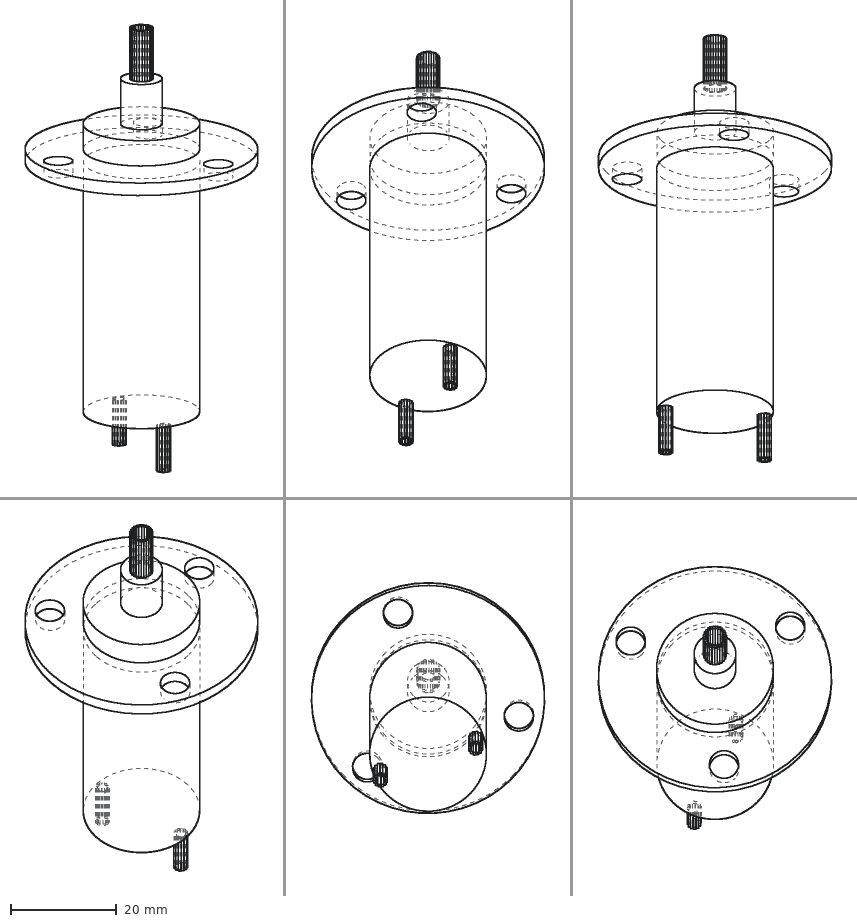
import cadquery as cq
import math

overall_height = 84.8
lower_wire_length = 9.0
hub_height = 5.0
flange_thickness = 2.5
neck_height = 8.9
upper_wire_length = 10.0

hub_base_z = overall_height - upper_wire_length - neck_height - hub_height
flange_base_z = hub_base_z - flange_thickness
neck_base_z = hub_base_z + hub_height
neck_top_z = neck_base_z + neck_height

body_diameter = 22.05
flange_diameter = 44.0
neck_diameter = 7.9

hole_count = 3
hole_diameter = 5.5
hole_circle_radius = 17.5
first_hole_angle = -90.0

wire_diameter = 0.5
upper_wire_count = 24
upper_ring_radius = 1.95
lower_wire_count = upper_wire_count // 2
lower_ring_radius = 1.1
lower_bundle_offset = 9.5


def cylinder(diameter, base_z, height):
    """Solid cylinder on the Z axis."""
    return cq.Workplane("XY").workplane(offset=base_z).circle(diameter / 2).extrude(height)


def ring_points(center_x, radius, count, first_angle=0.0):
    """Evenly spaced points on a circle centred on the X axis."""
    angles = [math.radians(first_angle + 360.0 * i / count) for i in range(count)]
    return [(center_x + radius * math.cos(a), radius * math.sin(a)) for a in angles]


def wire_bundle(center_x, ring_radius, count, base_z, length):
    """Hollow ring of separate round wires."""
    points = ring_points(center_x, ring_radius, count)
    plane = cq.Workplane("XY").workplane(offset=base_z)
    return plane.pushPoints(points).circle(wire_diameter / 2).extrude(length)


def housing():
    """Body and hub of one diameter, round flange and narrow neck."""
    barrel = cylinder(body_diameter, lower_wire_length, neck_base_z - lower_wire_length)
    flange = cylinder(flange_diameter, flange_base_z, flange_thickness)
    neck = cylinder(neck_diameter, neck_base_z, neck_height)
    return barrel.union(flange).union(neck)


def mounting_holes():
    """Cutters for the flange holes."""
    points = ring_points(0.0, hole_circle_radius, hole_count, first_hole_angle)
    plane = cq.Workplane("XY").workplane(offset=flange_base_z)
    return plane.pushPoints(points).circle(hole_diameter / 2).extrude(flange_thickness)


result = housing().cut(mounting_holes())

result = result.union(wire_bundle(0.0, upper_ring_radius, upper_wire_count, neck_top_z, upper_wire_length))
for side in (-1, 1):
    bundle_x = side * lower_bundle_offset
    result = result.union(
        wire_bundle(bundle_x, lower_ring_radius, lower_wire_count, 0.0, lower_wire_length)
    )